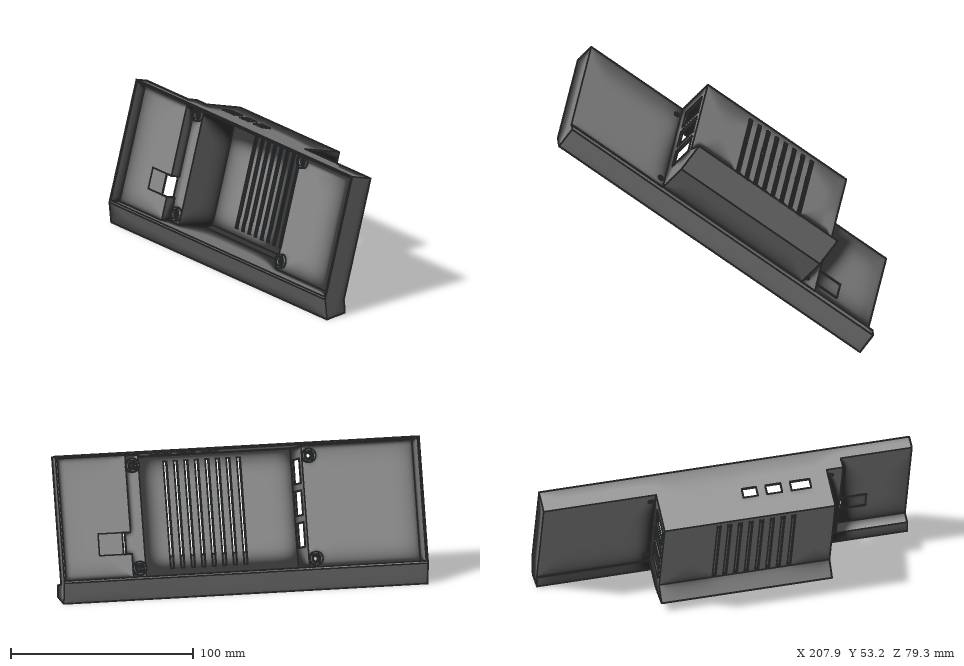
import cadquery as cq
import math


width = 207.9
height = 70.0
lean_angle = 15.0
wall = 1.0
box_side_wall = 1.2
bottom_wall = 1.3

left_depth = 7.1
step_depth = 13.0
box_depth = 36.33
right_depth = 12.7
box_back_wall = 2.0

step_start = 39.9
step_wall = 1.5
box_start = 49.1
box_end = 144.8

bevel_start_depth = 30.3
foot_tip_depth = 45.0
foot_tip_height = 6.9
foot_top_height = 12.3

lip_thickness = 12.0
lip_drop = 11.71
lip_front_lean = 5.8
lip_bottom_slope = 8.4
lip_back_top = 12.8

slot_count = 8
slot_pitch = 6.0
slot_width = 2.0
first_slot_x = 72.0
slot_top = 66.0
slot_bottom = 13.7
slot_groove_bottom = 7.0
slot_groove_depth = 1.0

top_openings = [(59.6, 11.0), (75.9, 8.5), (89.6, 8.0)]
top_opening_depth = 16.9
top_opening_size = 5.7

window_count = 3
window_pitch = 17.5
window_height = 13.5
window_bottom = 14.0
window_front_depth = 17.8
window_length = 15.0

boss_diameter = 7.5
boss_height = 2.0
counterbore_diameter = 5.0
counterbore_depth = 2.0
screw_hole_diameter = 3.0
boss_columns = [46.5, 147.3]
boss_inset = 6.6
boss_rows = [boss_inset, height - boss_inset]

plug_bottom = 14.5
plug_height = 12.0
plug_start = 23.0
plug_skin = 0.45
passage_start = 36.7

left_floor_depth = left_depth - wall
floor_depth = right_depth - wall
box_floor_depth = box_depth - box_back_wall
step_inside = step_start + step_wall
box_inner_start = box_start + box_side_wall
box_inner_end = box_end - box_side_wall
top_inside = height - wall
bevel_slope = foot_tip_height / (foot_tip_depth - bevel_start_depth)
bevel_rise = bevel_slope * (box_floor_depth - bevel_start_depth)


def block(x_start, x_end, y_start, y_end, z_start, z_end):
    """Box between two opposite corners."""
    size = (x_end - x_start, y_end - y_start, z_end - z_start)
    return cq.Workplane("XY").box(*size, centered=False).translate((x_start, y_start, z_start))


def extrude_along_x(outline, x_start, x_end):
    """Prism along X from an outline of (depth, height) points."""
    return cq.Workplane("YZ", origin=(x_start, 0, 0)).polyline(outline).close().extrude(x_end - x_start)


def box_body():
    outline = [
        (0, 0),
        (bevel_start_depth, 0),
        (foot_tip_depth, foot_tip_height),
        (box_depth, foot_top_height),
        (box_depth, height),
        (0, height),
    ]
    return extrude_along_x(outline, box_start, box_end)


def box_cavity():
    outline = [
        (0, bottom_wall),
        (bevel_start_depth, bottom_wall),
        (box_floor_depth, bottom_wall + bevel_rise),
        (box_floor_depth, top_inside),
        (0, top_inside),
    ]
    return extrude_along_x(outline, box_inner_start, box_inner_end)


def shell():
    outer = block(0, step_start, 0, left_depth, 0, height)
    outer = outer.union(block(step_start, box_inner_start, 0, step_depth, 0, height))
    outer = outer.union(block(box_inner_end, width, 0, right_depth, 0, height))
    outer = outer.union(box_body())

    cavity = block(wall, step_inside, 0, left_floor_depth, bottom_wall, top_inside)
    cavity = cavity.union(block(step_inside, box_inner_start, 0, floor_depth, bottom_wall, top_inside))
    cavity = cavity.union(block(box_inner_end, width - wall, 0, floor_depth, bottom_wall, top_inside))
    cavity = cavity.union(box_cavity())
    return outer.cut(cavity)


def lip():
    """Full-width strip in the leaned frame, hung from the lower front edge."""
    front_shift = lip_drop * math.tan(math.radians(lip_front_lean))
    slope = math.radians(lip_bottom_slope)
    lean = math.radians(lean_angle)
    back_bottom_y = front_shift + lip_thickness * math.cos(slope)
    back_bottom_z = -lip_drop + lip_thickness * math.sin(slope)
    outline = [
        (0, 0),
        (front_shift, -lip_drop),
        (back_bottom_y, back_bottom_z),
        (lip_back_top, -lip_back_top * math.tan(lean)),
    ]
    return extrude_along_x(outline, 0, width)


def ventilation_slots():
    slots = cq.Workplane("XY")
    for i in range(slot_count):
        x_start = first_slot_x + i * slot_pitch - slot_width / 2
        x_end = x_start + slot_width
        groove_end = box_floor_depth + slot_groove_depth
        slots = slots.add(block(x_start, x_end, box_floor_depth, groove_end, slot_groove_bottom, slot_top))
        slots = slots.add(block(x_start, x_end, groove_end, box_depth, slot_bottom, slot_top))
    return slots.combine()


def top_wall_openings():
    cuts = cq.Workplane("XY")
    opening_end = top_opening_depth + top_opening_size
    for x_start, length in top_openings:
        cuts = cuts.add(
            block(x_start, x_start + length, top_opening_depth, opening_end, top_inside, height)
        )
    return cuts.combine()


def side_windows():
    cuts = cq.Workplane("XY")
    window_end = window_front_depth + window_length
    for i in range(window_count):
        z = window_bottom + i * window_pitch
        cuts = cuts.add(
            block(box_inner_end, box_end, window_front_depth, window_end, z, z + window_height)
        )
    return cuts.combine()


def peg(x, z, diameter, y_start, y_end):
    """Round bar along the depth."""
    return cq.Workplane("XZ", origin=(x, y_start, z)).circle(diameter / 2).extrude(y_start - y_end)


def add_bosses(body):
    boss_face = floor_depth - boss_height
    for x in boss_columns:
        for z in boss_rows:
            body = body.union(peg(x, z, boss_diameter, boss_face, floor_depth))
            body = body.cut(peg(x, z, counterbore_diameter, boss_face, boss_face + counterbore_depth))
            body = body.cut(peg(x, z, screw_hole_diameter, boss_face, step_depth))
    return body


def plug_cuts():
    top = plug_bottom + plug_height
    recess = block(plug_start, step_start, left_floor_depth + plug_skin, left_depth, plug_bottom, top)
    passage = block(passage_start, step_inside, left_floor_depth, floor_depth, plug_bottom, top)
    return recess.union(passage)


enclosure = shell().cut(ventilation_slots()).cut(top_wall_openings()).cut(side_windows())
enclosure = add_bosses(enclosure).cut(plug_cuts())
leaned = enclosure.rotate((0, 0, 0), (1, 0, 0), -lean_angle)
result = leaned.union(lip())